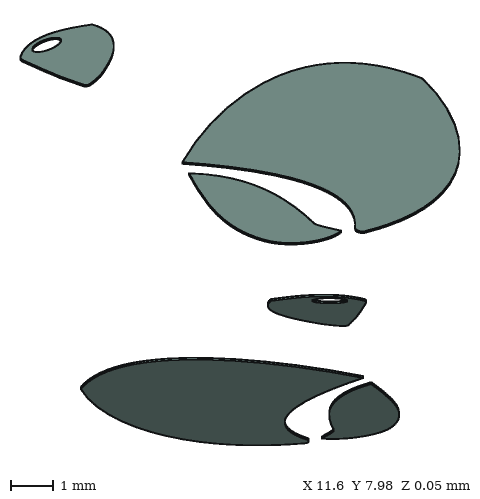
import cadquery as cq

THICKNESS = 0.05

HOLE_CENTER = (0.38, 5.33)
HOLE_HALF_LENGTH = 0.42
HOLE_HALF_WIDTH = 0.2
HOLE_TILT = 67.0


def make_large_plate():
    """Broad shell-shaped plate with a concave lower edge and a rounded lower right tip."""
    lower_left = (5.49, 2.17)
    top = (9.0, 7.91)
    tip_right = (10.71, 1.42)
    tip_bottom = (10.55, 1.32)
    tip_left = (10.39, 1.42)
    return (
        cq.Workplane("XY")
        .moveTo(*lower_left)
        .bezier([(5.1, 4.71), (5.43, 8.52), top], includeCurrent=True)
        .bezier([(11.28, 6.36), (12.52, 3.67), tip_right], includeCurrent=True)
        .threePointArc(tip_bottom, tip_left)
        .bezier([(9.94, 2.5), (8.64, 3.23), lower_left], includeCurrent=True)
        .close()
        .extrude(THICKNESS)
    )


def make_leaf_plate():
    """Slender leaf-shaped plate below the large plate, with a shallow hollow at its right end."""
    left_tip = (5.84, 1.81)
    hollow_left = (9.44, 1.16)
    right_tip = (10.15, 1.15)
    lowest = (8.72, 0.0)
    return (
        cq.Workplane("XY")
        .moveTo(*left_tip)
        .bezier([(7.08, 2.33), (8.22, 1.99), hollow_left], includeCurrent=True)
        .bezier([(9.52, 1.11), (9.65, 1.11), right_tip], includeCurrent=True)
        .bezier([(10.13, 0.68), (9.45, 0.0), lowest], includeCurrent=True)
        .bezier([(7.53, 0.0), (6.6, 0.98), left_tip], includeCurrent=True)
        .close()
        .extrude(THICKNESS)
    )


def make_small_plate():
    """Small detached plate with two rounded lower corners and a tilted elliptical hole."""
    top = (0.96, 6.59)
    right = (2.1, 4.75)
    right_corner_start = (2.04, 4.24)
    right_corner_middle = (2.0, 4.19)
    right_corner_end = (1.92, 4.16)
    left_corner_start = (0.17, 4.48)
    left_corner_middle = (0.1, 4.52)
    left_corner_end = (0.05, 4.59)
    body = (
        cq.Workplane("XY")
        .moveTo(*top)
        .bezier([(1.9, 6.57), (2.05, 5.41), right], includeCurrent=True)
        .bezier([(2.1, 4.54), (2.07, 4.4), right_corner_start], includeCurrent=True)
        .threePointArc(right_corner_middle, right_corner_end)
        .bezier([(1.19, 4.22), (0.81, 4.33), left_corner_start], includeCurrent=True)
        .threePointArc(left_corner_middle, left_corner_end)
        .bezier([(-0.19, 5.48), (0.4, 6.11), top], includeCurrent=True)
        .close()
        .extrude(THICKNESS)
    )
    hole = (
        cq.Workplane("XY")
        .center(*HOLE_CENTER)
        .ellipse(HOLE_HALF_LENGTH, HOLE_HALF_WIDTH, rotation_angle=HOLE_TILT)
        .extrude(THICKNESS)
    )
    return body.cut(hole)


large_plate = make_large_plate()
leaf_plate = make_leaf_plate()
small_plate = make_small_plate()

result = cq.Compound.makeCompound([large_plate.val(), leaf_plate.val(), small_plate.val()])